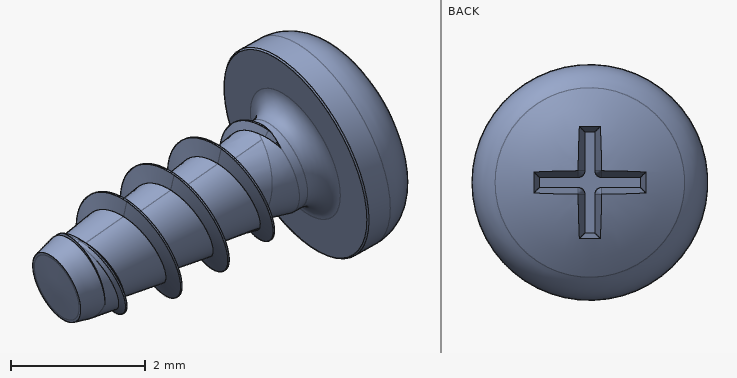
import cadquery as cq
import math


head_radius = 1.75
head_edge_chamfer = 0.025
head_rim_height = 0.42
head_corner_radius = 0.675
dome_apex_height = 1.38

wing_span = 1.7
wing_width = 0.35
recess_depth = 0.645
recess_draft = 9.0

shank_radius = 0.74
neck_fillet = 0.345
shank_end = -0.5

blend_end = -1.035

pitch = 0.885
crest_radius = 1.0
run_in_crest_radius = 0.83
run_out_crest_radius = 0.72
crest_width = 0.03
head_side_foot = 0.1
tip_side_foot = 0.075
root_large_radius = 0.715
root_small_radius = 0.605
run_in_y = -0.495
crest_radii = [
    run_out_crest_radius,
    run_out_crest_radius,
    crest_radius,
    crest_radius,
    crest_radius,
    run_in_crest_radius,
    run_in_crest_radius,
]
thread_turns = len(crest_radii) - 1

tip_y = -4.5
tip_rim_y = -4.485
tip_rim_radius = 0.58
tip_point_radius = 0.54
tip_cone_top = -4.11
tip_cone_top_radius = 0.68
tip_step = 0.09
limit_radius = crest_radius + 0.06


def make_head_and_shank():
    """Pan head, fillet under the head and plain shank, turned about the screw axis."""
    corner_x = head_radius - head_corner_radius
    apex_to_corner = dome_apex_height - head_rim_height
    dome_radius = (corner_x**2 + apex_to_corner**2 - head_corner_radius**2) / (
        2 * (apex_to_corner - head_corner_radius)
    )
    dome_centre_y = dome_apex_height - dome_radius
    joint_angle = math.atan2(head_rim_height - dome_centre_y, corner_x)
    mid_dome_angle = (joint_angle + math.pi / 2) / 2

    def on_dome(angle):
        return (dome_radius * math.cos(angle), dome_centre_y + dome_radius * math.sin(angle))

    profile = (
        cq.Workplane("XY")
        .moveTo(0, shank_end)
        .lineTo(shank_radius, shank_end)
        .lineTo(shank_radius, -neck_fillet)
        .tangentArcPoint((shank_radius + neck_fillet, 0), relative=False)
        .lineTo(head_radius - head_edge_chamfer, 0)
        .lineTo(head_radius, head_edge_chamfer)
        .lineTo(head_radius, head_rim_height)
        .tangentArcPoint(on_dome(joint_angle), relative=False)
        .threePointArc(on_dome(mid_dome_angle), (0, dome_apex_height))
        .close()
    )
    return profile.revolve(360, (0, 0, 0), (0, 1, 0))


def make_recess():
    """Cross recess with drafted walls, sunk into the dome from its apex."""
    top_plane = cq.Workplane("XZ", origin=(0, dome_apex_height, 0))
    cross = top_plane.sketch().rect(wing_span, wing_width).rect(wing_width, wing_span).clean().finalize()
    return cross.extrude(recess_depth, taper=recess_draft)


def make_blend():
    """Cone from the end of the shank down to the thread root."""
    blend_length = shank_end - blend_end
    cone = cq.Solid.makeCone(
        root_small_radius, shank_radius, blend_length, cq.Vector(0, blend_end, 0), cq.Vector(0, 1, 0)
    )
    return cq.Workplane(cone)


def helix_turn(start_radius, end_radius, height):
    """One right-hand turn about Z that starts on the +X side at the given height."""
    if end_radius == start_radius:
        turn = cq.Wire.makeHelix(pitch, pitch, start_radius)
    else:
        angle = math.atan2(end_radius - start_radius, pitch)
        slope_pitch = pitch / math.cos(angle)
        turn = cq.Wire.makeHelix(slope_pitch, slope_pitch, start_radius, angle=math.degrees(angle))
    return turn.Edges()[0].translate(cq.Vector(0, 0, height))


def thread_section(turn):
    """Radius and height of the corners at the start of a turn, from its upper foot down by one pitch."""
    middle = turn * pitch
    return [
        (root_small_radius, middle + head_side_foot),
        (crest_radii[turn], middle + crest_width / 2),
        (crest_radii[turn], middle - crest_width / 2),
        (root_large_radius, middle - tip_side_foot),
        (root_small_radius, middle + head_side_foot - pitch),
    ]


def rod_end_faces(turn):
    """Faces that close the rod at the start of a turn: a helical step and its flat riser."""
    section = thread_section(turn)
    top = cq.Vector(0, 0, section[0][1])
    bottom = cq.Vector(0, 0, section[-1][1])
    inner_helix = helix_turn(root_small_radius, root_small_radius, bottom.z)
    step = cq.Face.makeRuledSurface(inner_helix, cq.Edge.makeLine(bottom, top))
    corners = [cq.Vector(radius, 0, height) for radius, height in section]
    riser = cq.Face.makeFromWires(cq.Wire.makePolygon([top, *corners, bottom], close=True))
    return [step, riser]


def make_threaded_rod():
    """Ridge and tapered root wound around the axis, with the crest growing and fading by turns."""
    faces = rod_end_faces(0) + rod_end_faces(thread_turns)
    for turn in range(thread_turns):
        starts = thread_section(turn)
        ends = thread_section(turn + 1)
        helices = [helix_turn(start[0], end[0], start[1]) for start, end in zip(starts, ends)]
        for upper, lower in zip(helices, helices[1:]):
            faces.append(cq.Face.makeRuledSurface(upper, lower))
    rod = cq.Workplane(cq.Solid.makeSolid(cq.Shell.makeShell(faces)))
    rod = rod.rotate((0, 0, 0), (0, 0, 1), -90).rotate((0, 0, 0), (1, 0, 0), -90)
    return rod.translate((0, run_in_y - (thread_turns - 1) * pitch, 0))


def make_limit():
    """Turned body that ends the thread at the shank and shapes the conical tip."""
    outline = [
        (0, shank_end),
        (limit_radius, shank_end),
        (limit_radius, tip_cone_top + tip_step),
        (tip_cone_top_radius, tip_cone_top),
        (tip_rim_radius, tip_rim_y),
        (tip_point_radius, tip_rim_y),
        (0, tip_y),
    ]
    return cq.Workplane("XY").polyline(outline).close().revolve(360, (0, 0, 0), (0, 1, 0))


head = make_head_and_shank().cut(make_recess())
threaded_part = make_threaded_rod().intersect(make_limit())
result = head.union(make_blend()).union(threaded_part)